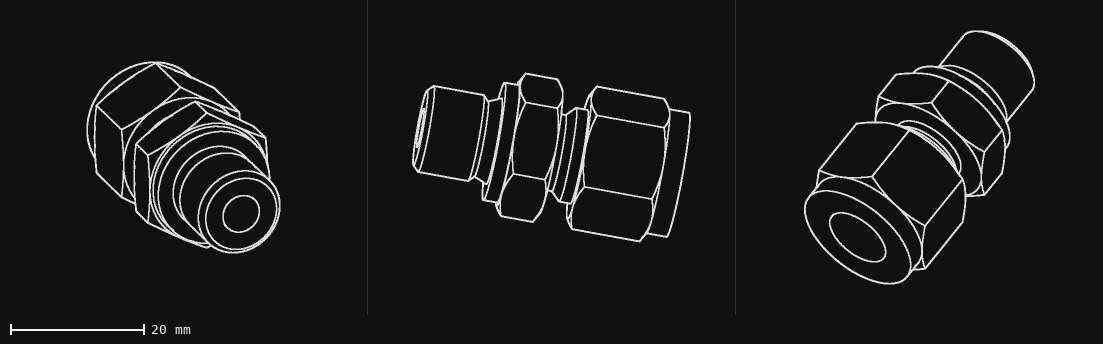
import cadquery as cq
import math


TUBE_NUT_START = 3.1
TUBE_NUT_END = 15.13
SHOULDER_CONE_START = 16.85
BODY_HEX_START = 19.45
BODY_HEX_END = 26.0
FLANGE_END = 28.15
UNDERCUT_FLOOR = 30.1
LENGTH = 39.4

ACROSS_FLATS = 19.0
SHOULDER_DIAMETER = 14.35
NECK_DIAMETER = 11.65
FLANGE_DIAMETER = 17.95
THREAD_DIAMETER = 13.15
UNDERCUT_DIAMETER = 11.5
TUBE_BORE_DIAMETER = 10.0
THROUGH_BORE_DIAMETER = 5.87

THREAD_END_CHAMFER = 0.85
HEX_CHAMFER_ANGLE = 30.0

TUBE_BORE_DEPTH = SHOULDER_CONE_START

SHOULDER_CONE_END = SHOULDER_CONE_START + (SHOULDER_DIAMETER - NECK_DIAMETER) / 2
THREAD_START = UNDERCUT_FLOOR + (THREAD_DIAMETER - UNDERCUT_DIAMETER) / 2


def revolve_about_x(profile):
    """Revolve a closed outline of (x, radius) points about the X axis."""
    return cq.Workplane("XY").polyline(profile).close().revolve(360, (0, 0, 0), (1, 0, 0))


def cylinder(start, end, diameter):
    """Cylinder on the X axis between two stations."""
    return cq.Workplane("YZ", origin=(start, 0, 0)).circle(diameter / 2).extrude(end - start)


def chamfered_hex(start, end):
    """Hexagon with corners at +Z and -Z, its corners turned down at both ends."""
    flat_radius = ACROSS_FLATS / 2
    corner_radius = flat_radius / math.cos(math.radians(30))
    prism = (
        cq.Workplane("YZ", origin=(start, 0, 0))
        .polygon(6, 2 * corner_radius)
        .extrude(end - start)
        .rotate((0, 0, 0), (1, 0, 0), 90)
    )
    rim_radius = 1.1 * corner_radius
    chamfer_length = (rim_radius - flat_radius) * math.tan(math.radians(HEX_CHAMFER_ANGLE))
    envelope = revolve_about_x([
        (start, 0),
        (start, flat_radius),
        (start + chamfer_length, rim_radius),
        (end - chamfer_length, rim_radius),
        (end, flat_radius),
        (end, 0),
    ])
    return prism.intersect(envelope)


def turned_body():
    """Shoulder, neck, sealing flange, undercut and thread as one turned core."""
    shoulder_radius = SHOULDER_DIAMETER / 2
    neck_radius = NECK_DIAMETER / 2
    flange_radius = FLANGE_DIAMETER / 2
    thread_radius = THREAD_DIAMETER / 2
    return revolve_about_x([
        (TUBE_NUT_START, 0),
        (TUBE_NUT_START, shoulder_radius),
        (SHOULDER_CONE_START, shoulder_radius),
        (SHOULDER_CONE_END, neck_radius),
        (BODY_HEX_END, neck_radius),
        (BODY_HEX_END, flange_radius),
        (FLANGE_END, flange_radius),
        (FLANGE_END, thread_radius),
        (UNDERCUT_FLOOR, UNDERCUT_DIAMETER / 2),
        (THREAD_START, thread_radius),
        (LENGTH - THREAD_END_CHAMFER, thread_radius),
        (LENGTH, thread_radius - THREAD_END_CHAMFER),
        (LENGTH, 0),
    ])


nut_collar = cylinder(0, TUBE_NUT_START, ACROSS_FLATS)
tube_nut = chamfered_hex(TUBE_NUT_START, TUBE_NUT_END)
body_hex = chamfered_hex(BODY_HEX_START, BODY_HEX_END)
tube_bore = cylinder(0, TUBE_BORE_DEPTH, TUBE_BORE_DIAMETER)
through_bore = cylinder(0, LENGTH, THROUGH_BORE_DIAMETER)

result = (
    turned_body()
    .union(nut_collar)
    .union(tube_nut)
    .union(body_hex)
    .cut(tube_bore)
    .cut(through_bore)
)